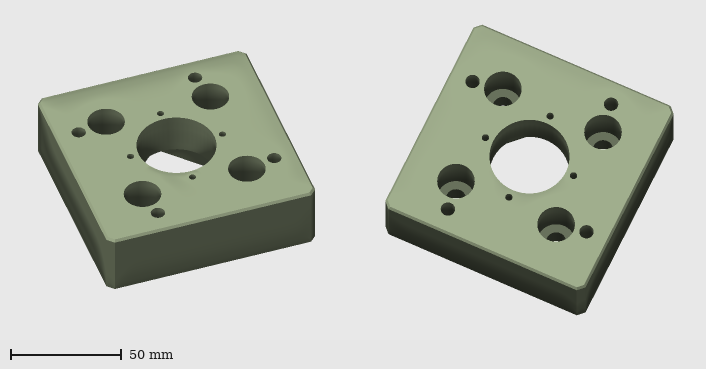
import cadquery as cq

side = 100.0
height = 30.0
corner_chamfer = 3.0
top_chamfer = 1.0

bore_diameter = 36.2
recess_side = 43.0
recess_angle = 45.0
recess_depth = 10.2

screw_spacing = 50.0
screw_diameter = 9.0
counterbore_diameter = 17.0
counterbore_depth = 20.0

small_hole_diameter = 3.3
small_hole_circle_radius = 22.0

outer_hole_diameter = 6.5
outer_hole_circle_radius = 45.0
outer_hole_angle = 60.0

holes_per_circle = 4


def make_block():
    """Square block with bevelled vertical corners and top rim."""
    block = cq.Workplane("XY").box(side, side, height, centered=(True, True, False))
    block = block.edges("|Z").chamfer(corner_chamfer)
    return block.faces(">Z").edges().chamfer(top_chamfer)


def cut_central_bore(body):
    """Through bore with a diagonal square recess from below."""
    body = body.faces(">Z").workplane(origin=(0, 0, 0)).hole(bore_diameter)
    recess = cq.Workplane("XY").rect(recess_side, recess_side).extrude(recess_depth)
    recess = recess.rotate((0, 0, 0), (0, 0, 1), recess_angle)
    return body.cut(recess)


def cut_screw_holes(body):
    """Counterbored holes at the corners of a square."""
    return (
        body.faces(">Z")
        .workplane(origin=(0, 0, 0))
        .rarray(screw_spacing, screw_spacing, 2, 2)
        .cboreHole(screw_diameter, counterbore_diameter, counterbore_depth)
    )


def cut_hole_circle(body, diameter, circle_radius, start_angle):
    """Through holes evenly spaced on a circle about the bore axis."""
    return (
        body.faces(">Z")
        .workplane(origin=(0, 0, 0))
        .polarArray(circle_radius, start_angle, 360, holes_per_circle)
        .hole(diameter)
    )


result = make_block()
result = cut_central_bore(result)
result = cut_screw_holes(result)
result = cut_hole_circle(result, small_hole_diameter, small_hole_circle_radius, 0)
result = cut_hole_circle(result, outer_hole_diameter, outer_hole_circle_radius, outer_hole_angle)